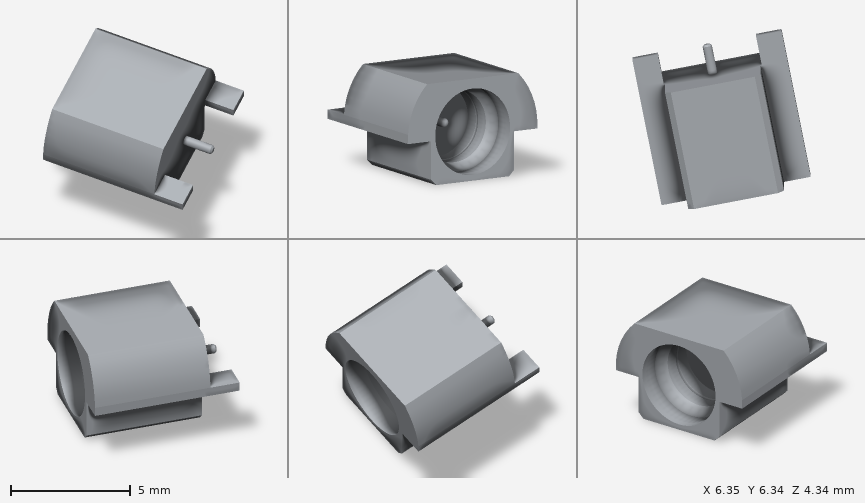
import cadquery as cq
import math

length = 6.35
half_width = 3.17
top_z = 2.255
bottom_z = -2.08

body_length = 5.07
leg_thickness = 0.395
leg_inner_y = 2.08
base_half_width = 2.03
base_chamfer = 0.25

mouth_radius = 1.835
mouth_depth = 0.935
bore_radius = 1.54
taper_length = 0.515
groove_start = 2.06
groove_width = 0.165
groove_depth = 0.025

insulator_start = 2.86
shoulder_radius = 0.4
pin_radius = 0.2
pin_front_length = 0.76
tail_chamfer = 0.075

leg_half = leg_thickness / 2
shell_radius = math.hypot(half_width, leg_half)
top_half_width = math.sqrt(shell_radius**2 - top_z**2)
arc_mid_angle = (math.atan2(leg_half, half_width) + math.atan2(top_z, top_half_width)) / 2
arc_mid_y = shell_radius * math.cos(arc_mid_angle)
arc_mid_z = shell_radius * math.sin(arc_mid_angle)
taper_end = mouth_depth + taper_length
groove_end = groove_start + groove_width
pin_tip_x = insulator_start - pin_front_length


def make_shell():
    """Solid block with arched shoulders over a narrower chamfered base."""
    return (
        cq.Workplane("YZ")
        .moveTo(-top_half_width, top_z)
        .lineTo(top_half_width, top_z)
        .threePointArc((arc_mid_y, arc_mid_z), (half_width, leg_half))
        .lineTo(half_width, -leg_half)
        .lineTo(base_half_width, -leg_half)
        .lineTo(base_half_width, bottom_z + base_chamfer)
        .lineTo(base_half_width - base_chamfer, bottom_z)
        .lineTo(-base_half_width + base_chamfer, bottom_z)
        .lineTo(-base_half_width, bottom_z + base_chamfer)
        .lineTo(-base_half_width, -leg_half)
        .lineTo(-half_width, -leg_half)
        .lineTo(-half_width, leg_half)
        .threePointArc((-arc_mid_y, arc_mid_z), (-top_half_width, top_z))
        .close()
        .extrude(body_length)
    )


def revolve_about_x(profile):
    """Turn a closed XY profile around the X axis."""
    return profile.close().revolve(360, (0, 0, 0), (1, 0, 0))


def make_bore():
    """Wide mouth, taper and through bore with a shallow rounded snap groove."""
    profile = (
        cq.Workplane("XY")
        .lineTo(0, mouth_radius)
        .lineTo(mouth_depth, mouth_radius)
        .lineTo(taper_end, bore_radius)
        .lineTo(groove_start, bore_radius)
        .threePointArc(
            (groove_start + groove_width / 2, bore_radius + groove_depth),
            (groove_end, bore_radius),
        )
        .lineTo(body_length, bore_radius)
        .lineTo(body_length, 0)
    )
    return revolve_about_x(profile)


def make_leg(side):
    """Flat mounting leg behind the housing; side is +1 or -1 along Y."""
    leg_width = half_width - leg_inner_y
    leg_center_y = side * (half_width + leg_inner_y) / 2
    return (
        cq.Workplane("YZ", origin=(body_length, leg_center_y, 0))
        .rect(leg_width, leg_thickness)
        .extrude(length - body_length)
    )


def make_housing():
    """Bored shell with its two legs."""
    housing = make_shell().cut(make_bore())
    for side in (-1, 1):
        housing = housing.union(make_leg(side))
    return housing


def make_insulator():
    """Disc that fills the rear of the bore and holds the pin shoulder."""
    return (
        cq.Workplane("YZ", origin=(insulator_start, 0, 0))
        .circle(bore_radius)
        .circle(shoulder_radius)
        .extrude(body_length - insulator_start)
    )


def make_pin():
    """Pin with a domed tip, a shoulder inside the insulator and a chamfered tail."""
    dome_offset = pin_radius * math.sqrt(0.5)
    profile = (
        cq.Workplane("XY")
        .moveTo(pin_tip_x, 0)
        .threePointArc(
            (pin_tip_x + pin_radius - dome_offset, dome_offset),
            (pin_tip_x + pin_radius, pin_radius),
        )
        .lineTo(insulator_start, pin_radius)
        .lineTo(insulator_start, shoulder_radius)
        .lineTo(body_length, shoulder_radius)
        .lineTo(body_length, pin_radius)
        .lineTo(length - tail_chamfer, pin_radius)
        .lineTo(length, pin_radius - tail_chamfer)
        .lineTo(length, 0)
    )
    return revolve_about_x(profile)


housing = make_housing()
insulator = make_insulator()
pin = make_pin()

result = cq.Compound.makeCompound([housing.val(), insulator.val(), pin.val()])